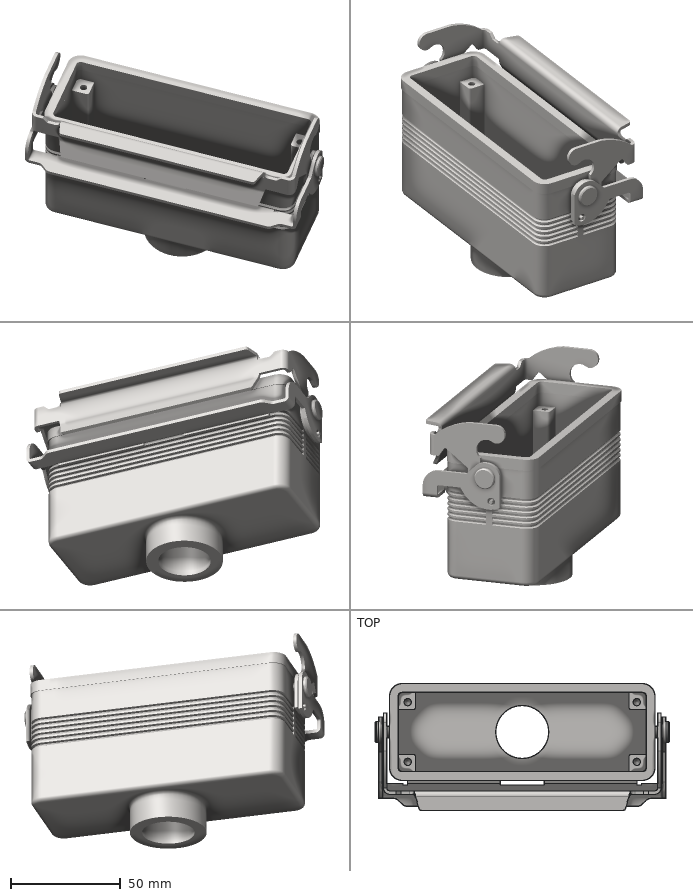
import cadquery as cq
import math


body_length = 120.1
body_width = 43.8
body_corner = 6.0
body_bottom = 13.0
bottom_fillet = 2.0
rim_top = 73.75
collar_bottom = 68.5
collar_step = 0.25
collar_end_step = 0.5

mouth_length = 113.0
mouth_width = 36.0
mouth_corner = 2.0
cavity_relief = 0.15
floor_thickness = 4.0
floor_top = body_bottom + floor_thickness

post_size = 8.0
post_top = 62.1
post_root = 1.0
post_fillet = 1.2
screw_spacing_x = 104.4
screw_spacing_y = 27.2
screw_hole_diameter = 3.3
screw_hole_depth = 12.0
drill_point_angle = 118.0

entry_diameter = 35.0
entry_bore = 24.0
entry_fillet = 1.7

groove_count = 6
groove_pitch = 2.5
groove_opening = 1.6
groove_floor = 0.9
groove_depth = 1.2
grooves_top = 54.85
groove_break = 3.0
groove_margin = 1.0

pivot_height = 64.6
shaft_diameter = 5.4
spigot_diameter = 3.0
head_diameter = 9.7
head_chamfer = 0.5
overall_length = 134.0

stud_forward = -2.9
stud_height = 53.7
stud_diameter = 1.7
stud_hole_diameter = 3.7
stud_projection = 0.8

sheet = 1.6
lever_side = 65.4
hook_side = 63.3
inner_bend = 0.6
lever_bend = inner_bend + sheet

lever_top_radius = 7.2
lever_back = -6.9
lever_back_bottom = 51.1
lever_lowest_forward = -1.1
lever_lowest = 49.8
arm_top = pivot_height + 1.1
arm_bottom = 58.9
arm_inner = 23.4
arm_front = 30.3
arm_front_radius = 7.6
arm_inner_radius = 0.8
arm_root_forward = 12.1
lower_edge_start = (9.6, 55.2)
lower_edge_middle = (5.3, 51.6)
plate_top = 54.0
plate_bottom = plate_top - sheet

plate_front = 33.9
plate_front_half = 53.6
plate_shoulder_half = 57.5
plate_edge_radius = 3.0
lip_back = 22.1
lip_bottom = 51.5
lip_outer_half = 52.4
lip_inner_half = 10.0
lip_relief = 1.9
relief_forward = 24.1

hook_nose_radius = 4.3
hook_top = 89.5
nose_forward = -4.4
nose_end = (-3.9, 80.95)
mouth_radius = 5.2
mouth_forward = -0.1
mouth_height = 77.1
mouth_start_angle = math.radians(104)
mouth_end_angle = math.radians(-38)
neck_back = 3.2
neck_top = 73.2
neck_front = 9.2
hook_lower_radius = 6.5
hook_lowest = 52.0
hook_curve_start = 62.6
throat_bottom = 67.9
throat_top = 76.2
throat_back = 19.7
throat_front = 20.5
throat_end = 23.4
back_curve_middle = (17.1, 87.2)
back_curve_top = 8.6
strip_front = 28.4
strip_bottom = 72.2
strip_top = 82.0
strip_bend = 2.9

flange_reach = 35.83
flange_top = 83.2
flange_bend = 2.6
panel_half = 49.3
panel_tip_half = 46.9
panel_tip_radius = 1.5
flap_bend_height = 70.3
flap_length = 7.8
flap_bend = 2.3
flap_angle = math.radians(26)
flap_half = 49.9
flap_tip_half = 47.4
notch_floor = 79.8
notch_floor_outer = 55.2
notch_floor_inner = 51.4
notch_outer = 57.5


def rounded_block(length, width, corner, bottom, top):
    """Upright block with rounded vertical edges, centred on the Z axis."""
    block = cq.Workplane("XY").workplane(offset=bottom).rect(length, width).extrude(top - bottom)
    return block.edges("|Z").fillet(corner)


def side_plane(x):
    """Sketch plane on the -X end: local x runs forward, local y runs up, extruding goes outwards."""
    return cq.Workplane(cq.Plane(origin=(-x, 0, 0), xDir=(0, -1, 0), normal=(-1, 0, 0)))


def both_ends(shape):
    """The shape together with its copy on the opposite end."""
    return shape.union(shape.mirror("YZ"))


def grooved_core(top):
    """What remains of the body inside one groove: two tapers around a waist."""
    slope = (groove_opening - groove_floor) / 2
    bottom = top - groove_opening
    taper = math.degrees(math.atan(groove_depth / slope))
    waist = rounded_block(
        body_length - 2 * groove_depth,
        body_width - 2 * groove_depth,
        body_corner - groove_depth,
        bottom,
        top,
    )
    outline = cq.Sketch().rect(body_length, body_width).vertices().fillet(body_corner)
    lower = cq.Workplane("XY").workplane(offset=bottom).placeSketch(outline).extrude(slope, taper=taper)
    upper = lower.mirror("XY", (0, 0, top - groove_opening / 2))
    return waist.union(lower).union(upper)


def groove(top):
    """Groove around the body with a plain strip left at the middle of each end."""
    blank = rounded_block(
        body_length + 2 * groove_margin,
        body_width + 2 * groove_margin,
        body_corner + groove_margin,
        top - groove_opening,
        top,
    )
    plain_strip = (
        cq.Workplane("XY")
        .workplane(offset=top - groove_opening)
        .rect(body_length + 2 * groove_margin, groove_break)
        .extrude(groove_opening)
    )
    return blank.cut(grooved_core(top)).cut(plain_strip)


def screw_post(side_x, side_y):
    """Square post in one corner of the cavity, rounded on its free edge."""
    span_x = mouth_length / 2 + cavity_relief
    span_y = mouth_width / 2 + cavity_relief
    bottom = floor_top - post_root
    side = post_size + post_root
    post = (
        cq.Workplane("XY")
        .box(side, side, post_top - bottom, centered=False)
        .edges("|Z and <X and <Y")
        .fillet(post_fillet)
        .translate((span_x - post_size, span_y - post_size, bottom))
    )
    if side_x < 0:
        post = post.mirror("YZ")
    if side_y < 0:
        post = post.mirror("XZ")
    return post


def screw_hole(side_x, side_y):
    """Blind hole with a drill point, from the top of a post."""
    radius = screw_hole_diameter / 2
    point_depth = radius / math.tan(math.radians(drill_point_angle / 2))
    hole = (
        cq.Workplane("XZ")
        .moveTo(0, post_top)
        .lineTo(radius, post_top)
        .lineTo(radius, post_top - screw_hole_depth)
        .lineTo(0, post_top - screw_hole_depth - point_depth)
        .close()
        .revolve(360, (0, 0), (0, 1))
    )
    return hole.translate((side_x * screw_spacing_x / 2, side_y * screw_spacing_y / 2, 0))


def make_housing():
    body = rounded_block(body_length, body_width, body_corner, body_bottom, rim_top)
    body = body.faces("<Z").edges().fillet(bottom_fillet)

    entry = cq.Workplane("XY").circle(entry_diameter / 2).extrude(floor_top)
    body = body.union(entry)
    root_circle = cq.selectors.RadiusNthSelector(-1)
    body = body.edges("%CIRCLE").edges(root_circle).edges(">Z").fillet(entry_fillet)

    collar = rounded_block(
        body_length + 2 * collar_end_step,
        body_width + 2 * collar_step,
        body_corner,
        collar_bottom,
        rim_top,
    )
    body = body.union(collar)
    for index in range(groove_count):
        body = body.cut(groove(grooves_top - index * groove_pitch))

    mouth = rounded_block(mouth_length, mouth_width, mouth_corner, floor_top, rim_top)
    cavity = rounded_block(
        mouth_length + 2 * cavity_relief,
        mouth_width + 2 * cavity_relief,
        mouth_corner,
        floor_top,
        collar_bottom,
    )
    body = body.cut(mouth).cut(cavity)

    for side_x in (-1, 1):
        for side_y in (-1, 1):
            body = body.union(screw_post(side_x, side_y))
            body = body.cut(screw_hole(side_x, side_y))

    bore = cq.Workplane("XY").circle(entry_bore / 2).extrude(floor_top)
    pin_holes = (
        cq.Workplane("YZ", origin=(-body_length, 0, pivot_height))
        .circle(spigot_diameter / 2)
        .extrude(2 * body_length)
    )
    return body.cut(bore).cut(pin_holes)


def pivot_pin():
    """Headed pin with a reduced end that sits in the housing wall."""
    cavity_wall = mouth_length / 2 + cavity_relief
    shaft_start = body_length / 2
    head_end = overall_length / 2
    spigot = (
        side_plane(cavity_wall)
        .center(0, pivot_height)
        .circle(spigot_diameter / 2)
        .extrude(lever_side - cavity_wall)
    )
    shaft = (
        side_plane(shaft_start)
        .center(0, pivot_height)
        .circle(shaft_diameter / 2)
        .extrude(lever_side - shaft_start)
    )
    head = (
        side_plane(lever_side)
        .center(0, pivot_height)
        .circle(head_diameter / 2)
        .extrude(head_end - lever_side)
        .faces("<X")
        .chamfer(head_chamfer)
    )
    return spigot.union(shaft).union(head)


def hook_arm():
    """Flat arm with the hook mouth on top, hanging on the pivot pin."""
    nose_center = hook_top - hook_nose_radius

    def mouth_point(angle):
        return (
            mouth_forward + mouth_radius * math.cos(angle),
            mouth_height + mouth_radius * math.sin(angle),
        )

    shoulder = pivot_height + math.sqrt(hook_lower_radius**2 - neck_back**2)
    diagonal = hook_lower_radius * math.sqrt(0.5)
    corner_forward = strip_front - strip_bend
    arm = (
        side_plane(hook_side - sheet)
        .moveTo(nose_forward, hook_top)
        .threePointArc((nose_forward - hook_nose_radius, nose_center), nose_end)
        .lineTo(*mouth_point(mouth_start_angle))
        .threePointArc(mouth_point(0), mouth_point(mouth_end_angle))
        .lineTo(neck_back, neck_top)
        .lineTo(neck_back, shoulder)
        .threePointArc((-diagonal, pivot_height + diagonal), (-hook_lower_radius, pivot_height))
        .lineTo(-hook_lower_radius, hook_lowest)
        .lineTo(0, hook_lowest)
        .tangentArcPoint((neck_front, hook_curve_start), relative=False)
        .lineTo(neck_front, throat_bottom)
        .lineTo(throat_back, throat_top)
        .lineTo(throat_front, throat_top)
        .lineTo(throat_end, strip_bottom)
        .lineTo(corner_forward, strip_bottom)
        .lineTo(corner_forward, strip_top)
        .threePointArc(back_curve_middle, (back_curve_top, hook_top))
        .close()
        .extrude(sheet)
    )
    return arm


def front_strip():
    """Upright strip across the front, bent back at both ends to meet the hook arms."""
    height = strip_top - strip_bottom
    depth = 2 * strip_front
    outer = rounded_block(2 * hook_side, depth, strip_bend, strip_bottom, strip_top)
    inner = rounded_block(
        2 * (hook_side - sheet), depth - 2 * sheet, strip_bend - sheet, strip_bottom, strip_top
    )
    front_zone = (
        cq.Workplane("XY")
        .box(2 * hook_side, strip_bend, height, centered=(True, False, False))
        .translate((0, -strip_front, strip_bottom))
    )
    strip = outer.cut(inner).intersect(front_zone)

    notch = (
        cq.Workplane("XZ", origin=(0, -strip_front + strip_bend, 0))
        .moveTo(-notch_outer, strip_top)
        .lineTo(-notch_floor_outer, notch_floor)
        .lineTo(-notch_floor_inner, notch_floor)
        .tangentArcPoint((-panel_half, strip_top), relative=False)
        .close()
        .extrude(2 * strip_bend)
    )
    flange_gap = (
        cq.Workplane("XY")
        .box(2 * panel_half, strip_bend, strip_top - notch_floor, centered=(True, False, False))
        .translate((0, -strip_front, notch_floor))
    )
    return strip.cut(both_ends(notch)).cut(flange_gap)


def top_flange():
    """Flange bent forward from the top of the strip, tapering to its tip."""
    strip_back = strip_front - sheet
    mid_height = (strip_top + strip_bottom) / 2
    flange_bottom = flange_top - sheet
    section = (
        side_plane(-panel_half)
        .moveTo(strip_back, mid_height)
        .lineTo(strip_back, flange_top)
        .lineTo(flange_reach, flange_top)
        .lineTo(flange_reach, flange_bottom)
        .lineTo(strip_front, flange_bottom)
        .lineTo(strip_front, mid_height)
        .close()
        .extrude(2 * panel_half)
    )
    outer_edge = cq.selectors.NearestToPointSelector((0, -strip_back, flange_top))
    inner_edge = cq.selectors.NearestToPointSelector((0, -strip_front, flange_bottom))
    section = section.edges(outer_edge).fillet(flange_bend)
    section = section.edges(inner_edge).fillet(flange_bend - sheet)

    outline = (
        cq.Workplane("XY", origin=(0, 0, mid_height))
        .polyline([
            (-panel_half, -strip_back),
            (panel_half, -strip_back),
            (panel_tip_half, -flange_reach),
            (-panel_tip_half, -flange_reach),
        ])
        .close()
        .extrude(flange_top - mid_height)
        .edges("|Z and <Y")
        .fillet(panel_tip_radius)
    )
    return section.intersect(outline)


def lower_flap():
    """Flap below the strip, bent forward at an angle and tapering to its tip."""
    strip_back = strip_front - sheet
    mid_height = (strip_top + strip_bottom) / 2
    lean = math.sin(flap_angle)
    drop = math.cos(flap_angle)
    tip_forward = strip_front + flap_length * lean
    tip_height = flap_bend_height - flap_length * drop
    back_bend_height = flap_bend_height - sheet * math.tan(flap_angle / 2)
    lowest = tip_height - sheet * lean
    section = (
        side_plane(-flap_half)
        .moveTo(strip_front, mid_height)
        .lineTo(strip_front, flap_bend_height)
        .lineTo(tip_forward, tip_height)
        .lineTo(tip_forward - sheet * drop, lowest)
        .lineTo(strip_back, back_bend_height)
        .lineTo(strip_back, mid_height)
        .close()
        .extrude(2 * flap_half)
    )
    front_edge = cq.selectors.NearestToPointSelector((0, -strip_front, flap_bend_height))
    back_edge = cq.selectors.NearestToPointSelector((0, -strip_back, back_bend_height))
    section = section.edges(front_edge).fillet(flap_bend)
    section = section.edges(back_edge).fillet(flap_bend + sheet)

    outline = (
        cq.Workplane("XZ")
        .polyline([
            (-flap_half, mid_height),
            (flap_half, mid_height),
            (flap_half, strip_bottom),
            (flap_tip_half, lowest),
            (-flap_tip_half, lowest),
            (-flap_half, strip_bottom),
        ])
        .close()
        .extrude(2 * strip_front)
        .edges("|Y and <Z")
        .fillet(panel_tip_radius)
    )
    return section.intersect(outline)


def lever_arm():
    """Flat arm around the pivot that reaches forward and turns down to the lever plate."""
    diagonal = lever_top_radius * math.sqrt(0.5)
    back_height = pivot_height + math.sqrt(lever_top_radius**2 - lever_back**2)
    arm = (
        side_plane(lever_side - sheet)
        .moveTo(lever_back, back_height)
        .threePointArc((0, pivot_height + lever_top_radius), (diagonal, pivot_height + diagonal))
        .lineTo(neck_front, arm_top)
        .lineTo(arm_front - arm_front_radius, arm_top)
        .tangentArcPoint((arm_front, arm_top - arm_front_radius), relative=False)
        .lineTo(arm_front, plate_bottom)
        .lineTo(arm_inner, plate_bottom)
        .lineTo(arm_inner, arm_bottom - arm_inner_radius)
        .tangentArcPoint((arm_inner - arm_inner_radius, arm_bottom), relative=False)
        .lineTo(arm_root_forward, arm_bottom)
        .lineTo(*lower_edge_start)
        .threePointArc(lower_edge_middle, (lever_lowest_forward, lever_lowest))
        .tangentArcPoint((lever_back, lever_back_bottom), relative=False)
        .close()
        .extrude(sheet)
    )
    hole = (
        side_plane(lever_side - sheet)
        .center(stud_forward, stud_height)
        .circle(stud_hole_diameter / 2)
        .extrude(sheet)
    )
    return arm.cut(hole)


def locking_stud():
    """Small stud on the hook arm, standing out through the hole of the lever arm."""
    return (
        side_plane(hook_side - sheet / 2)
        .center(stud_forward, stud_height)
        .circle(stud_diameter / 2)
        .extrude(lever_side + stud_projection - hook_side + sheet / 2)
    )


def lever_plate():
    """Level plate across the front, widening forward between its shoulders."""
    plate = (
        cq.Workplane("XY", origin=(0, 0, plate_bottom))
        .polyline([
            (-lever_side, -arm_inner),
            (lever_side, -arm_inner),
            (lever_side, -arm_front),
            (plate_shoulder_half, -arm_front),
            (plate_front_half, -plate_front),
            (-plate_front_half, -plate_front),
            (-plate_shoulder_half, -arm_front),
            (-lever_side, -arm_front),
        ])
        .close()
        .extrude(sheet)
    )
    for x, forward in ((plate_shoulder_half, arm_front), (plate_front_half, plate_front)):
        for side in (-1, 1):
            corner = cq.selectors.NearestToPointSelector((side * x, -forward, plate_top - sheet / 2))
            plate = plate.edges("|Z").edges(corner).fillet(plate_edge_radius)

    middle_relief = (
        cq.Workplane("XY", origin=(0, 0, plate_bottom))
        .rect(2 * lip_inner_half, 2 * relief_forward)
        .extrude(sheet)
    )
    end_relief = (
        cq.Workplane("XY", origin=(-lip_outer_half - lip_relief / 2, 0, plate_bottom))
        .rect(lip_relief, 2 * relief_forward)
        .extrude(sheet)
    )
    return plate.cut(middle_relief).cut(both_ends(end_relief))


def lever_lip():
    """Lip bent down along the back edge of the lever plate, on one half of its length."""
    lip_front = lip_back + sheet
    return (
        side_plane(lip_inner_half)
        .moveTo(relief_forward, plate_top)
        .lineTo(lip_front, plate_top)
        .tangentArcPoint((lip_back, plate_top - sheet), relative=False)
        .lineTo(lip_back, lip_bottom)
        .lineTo(lip_front, lip_bottom)
        .lineTo(lip_front, plate_bottom)
        .lineTo(relief_forward, plate_bottom)
        .close()
        .extrude(lip_outer_half - lip_inner_half)
    )


def make_lever():
    hook_bracket = both_ends(hook_arm()).union(front_strip()).union(top_flange()).union(lower_flap())

    lever_bracket = lever_plate().union(both_ends(lever_arm()))
    for side in (-1, 1):
        arm_middle = -(arm_inner + arm_front) / 2
        outer_edge = cq.selectors.NearestToPointSelector((side * lever_side, arm_middle, plate_bottom))
        inner_edge = cq.selectors.NearestToPointSelector((side * (lever_side - sheet), arm_middle, plate_top))
        lever_bracket = lever_bracket.edges("|Y").edges(outer_edge).fillet(lever_bend)
        lever_bracket = lever_bracket.edges("|Y").edges(inner_edge).fillet(inner_bend)
    lever_bracket = lever_bracket.union(both_ends(lever_lip()))

    joints = both_ends(pivot_pin().union(locking_stud()))
    return hook_bracket.union(lever_bracket).union(joints)


housing = make_housing()
locking_lever = make_lever()

result = cq.Compound.makeCompound([housing.solids().val(), locking_lever.solids().val()])